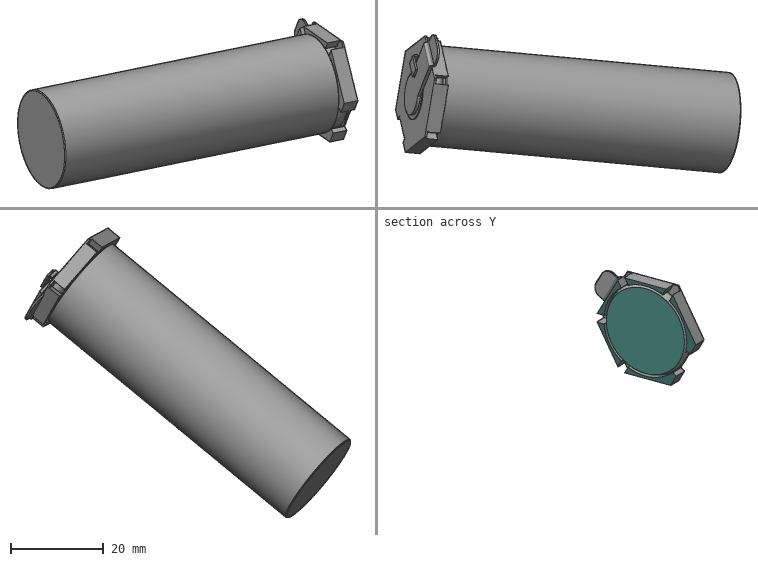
import cadquery as cq
import math

CONTACT_ANGLE = 150

CAN_DIAMETER = 21.8
CAN_EDGE = 0.2
CAN_RADIUS = CAN_DIAMETER / 2

ACROSS_FLATS = 22.7
FLAT_ANGLE = 30
COLLAR_FRONT = 67.4
COLLAR_BACK = 70.75
WEB = 0.45
SLOT_WIDTH = 2.0
SLOT_ANGLES = (-90, -FLAT_ANGLE, FLAT_ANGLE, 90)
NOTCH_WIDTH = 7.0
NOTCH_FLOOR = 10.2
BOSS_RADIUS = 5.55
BOSS_HEIGHT = 0.2

CORNER_RADIUS = ACROSS_FLATS / math.sqrt(3)
SHOULDER_Y = COLLAR_FRONT - CAN_EDGE
WEB_FRONT = COLLAR_BACK - WEB
BOSS_BACK = COLLAR_BACK + BOSS_HEIGHT

HEAD_RADIUS = 10.65
NECK_RADIUS = 9.7
NECK_BACK = 67.7

SHEET = 0.45
PLATE_THICKNESS = 0.65
PLATE_BACK = BOSS_BACK + PLATE_THICKNESS
DISC_RADIUS = 4.6
ARM_WIDTH = 7.15
ARM_END = 12.4
ARM_BEND = 0.6
SIDE_TAB_END = 16.0
SIDE_TAB_FRONT = 70.25
SIDE_TAB_CORNER = 2.2
FOLDED_TAB_BACK = 72.95
FOLDED_TAB_WIDTH = 2.3
FOLDED_TAB_MIDDLE = 6.5
FOLDED_TAB_TIP = 0.4
FOOT_RADIUS = 0.7
FOLD_RADIUS = 0.5


def cross_section(y):
    """Plane across the cell axis at y, with local axes along X and Z."""
    return cq.Workplane("XZ", origin=(0, y, 0))


def block(x_range, y_range, z_range):
    """Rectangular block between the given limits."""
    sides = [high - low for low, high in (x_range, y_range, z_range)]
    corner = (x_range[0], y_range[0], z_range[0])
    return cq.Workplane("XY").box(*sides, centered=False).translate(corner)


def turn_to_contact(body):
    return body.rotate((0, 0, 0), (0, 1, 0), -CONTACT_ANGLE)


def make_can():
    """Can with softened edges, a crimp neck and a rounded head, turned as one profile."""
    rim_radius = CAN_RADIUS - CAN_EDGE
    bulge_middle = (NECK_BACK + WEB_FRONT) / 2
    return (
        cq.Workplane("YZ")
        .lineTo(0, rim_radius)
        .lineTo(CAN_EDGE, CAN_RADIUS)
        .lineTo(SHOULDER_Y, CAN_RADIUS)
        .lineTo(COLLAR_FRONT, HEAD_RADIUS)
        .lineTo(NECK_BACK, NECK_RADIUS)
        .threePointArc((bulge_middle, HEAD_RADIUS), (WEB_FRONT, NECK_RADIUS))
        .lineTo(WEB_FRONT, 0)
        .close()
        .revolve(360, (0, 0, 0), (1, 0, 0))
    )


def make_collar():
    """Hexagonal cap with a seat for the head, four corner slots, a side notch and a round boss."""
    hexagon = cross_section(COLLAR_FRONT).polygon(6, 2 * CORNER_RADIUS)
    collar = hexagon.extrude(COLLAR_FRONT - COLLAR_BACK).rotate((0, 0, 0), (0, 1, 0), FLAT_ANGLE)
    seat = cross_section(COLLAR_FRONT).circle(HEAD_RADIUS).extrude(COLLAR_FRONT - WEB_FRONT)
    collar = collar.cut(seat)

    half_slot = SLOT_WIDTH / 2
    slot = block((NECK_RADIUS, CORNER_RADIUS), (COLLAR_FRONT, WEB_FRONT), (-half_slot, half_slot))
    for angle in SLOT_ANGLES:
        collar = collar.cut(slot.rotate((0, 0, 0), (0, 1, 0), angle))

    half_notch = NOTCH_WIDTH / 2
    notch = block((-CORNER_RADIUS, -NOTCH_FLOOR), (COLLAR_FRONT, COLLAR_BACK), (-half_notch, half_notch))
    boss = cross_section(COLLAR_BACK).circle(BOSS_RADIUS).extrude(-BOSS_HEIGHT)
    return turn_to_contact(collar.cut(notch).union(boss))


def make_plate_and_arm():
    """Round plate with an arm that steps down at its outer end into a flat round-cornered tab."""
    half_width = ARM_WIDTH / 2
    width_range = (-half_width, half_width)
    step_start = ARM_END - SHEET
    disc = cross_section(BOSS_BACK).circle(DISC_RADIUS).extrude(-PLATE_THICKNESS)
    arm = block((0, ARM_END), (BOSS_BACK, PLATE_BACK), width_range)
    step = block((step_start, ARM_END), (SIDE_TAB_FRONT, PLATE_BACK), width_range)
    tab = block((step_start, SIDE_TAB_END), (SIDE_TAB_FRONT, SIDE_TAB_FRONT + SHEET), width_range)
    tab = tab.edges("|Y and >X").fillet(SIDE_TAB_CORNER)

    strip = arm.union(step).union(tab)
    for bend_edge in ((ARM_END, PLATE_BACK, 0), (step_start, SIDE_TAB_FRONT, 0)):
        strip = strip.edges(cq.selectors.NearestToPointSelector(bend_edge)).fillet(ARM_BEND)
    return disc.union(strip)


def make_folded_tab():
    """Strip that leaves the side of the arm, curves up and folds back over it."""
    arm_side = -ARM_WIDTH / 2
    outer_side = arm_side - FOOT_RADIUS
    inner_side = outer_side + SHEET
    foot_centre = BOSS_BACK + FOOT_RADIUS
    fold_start = FOLDED_TAB_BACK - FOLD_RADIUS
    fold_end = outer_side + FOLD_RADIUS
    tab_front = FOLDED_TAB_BACK - SHEET
    side_plane = cq.Workplane("YZ", origin=(FOLDED_TAB_MIDDLE, 0, 0))
    return (
        side_plane.moveTo(BOSS_BACK, arm_side)
        .radiusArc((foot_centre, outer_side), FOOT_RADIUS)
        .lineTo(fold_start, outer_side)
        .radiusArc((FOLDED_TAB_BACK, fold_end), FOLD_RADIUS)
        .lineTo(FOLDED_TAB_BACK, FOLDED_TAB_TIP)
        .lineTo(tab_front, FOLDED_TAB_TIP)
        .lineTo(tab_front, fold_end)
        .radiusArc((fold_start, inner_side), SHEET - FOLD_RADIUS)
        .lineTo(foot_centre, inner_side)
        .radiusArc((BOSS_BACK + SHEET, arm_side), SHEET - FOOT_RADIUS)
        .close()
        .extrude(FOLDED_TAB_WIDTH / 2, both=True)
    )


def make_contact():
    return turn_to_contact(make_plate_and_arm().union(make_folded_tab()))


can = make_can()
collar = make_collar()
contact = make_contact()

bodies = (can, collar, contact)
result = cq.Compound.makeCompound([body.solids().val() for body in bodies])